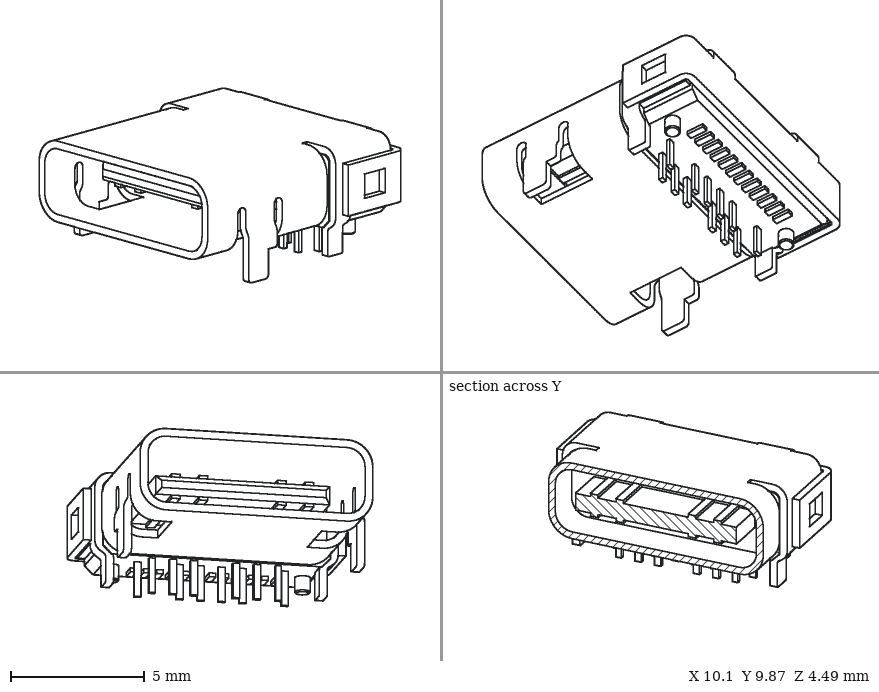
import cadquery as cq
import math


total_width = 10.1
total_length = 9.87
total_height = 4.49

wall = 0.3
tube_width = 8.95
tube_height = 3.16
tube_radius = 1.0
tube_length = 6.3
top_z = tube_height / 2
bottom_z = -tube_height / 2

hood_width = 9.35
hood_radius = 0.61
hood_front_y = 6.55
bridge_width = 6.3

bend_inner_radius = 0.1
bend_outer_radius = bend_inner_radius + wall
hood_back_y = total_length - bend_outer_radius
plate_half_height = 1.0
flap_front_y = 6.86
flap_window_length = 1.08
flap_window_height = 0.95
flap_window_y = 8.25
tab_width = 1.38
tab_x = 2.72

slot_width = 0.41
slot_inner_x = 2.88
slot_top_z = 0.24
front_leg_front_y = 2.01
front_leg_back_y = 3.51
front_leg_foot_width = 1.04
front_leg_bottom_z = -2.72
front_leg_shift = 0.16
front_leg_bend_z = -0.55
front_leg_bend_angle = 30
front_leg_bend_radius = 0.25
front_leg_shoulder_radius = 0.12
front_leg_foot_radius = 0.16

rear_leg_width = 0.78
rear_leg_bottom_z = -2.69
rear_leg_shift = -0.41
rear_leg_bend_z = -1.08
rear_leg_bend_angle = 55
rear_leg_bend_radius = 0.15
rear_leg_foot_radius = 0.07

core_front_y = 6.5
core_back_y = total_length - wall
core_half_width = hood_width / 2 - wall
core_top_z = top_z - wall
core_chamfer = 0.33

tongue_width = 6.69
tongue_thickness = 0.71
tongue_tip_y = 2.05
tongue_taper_length = 0.21
tongue_tip_width = 6.32
tongue_tip_thickness = 0.28
strip_width = 0.32
strip_height = 0.12
strip_xs = [-2.57, -1.5, 1.5, 2.57]

peg_x = 3.69
peg_y = 8.17
peg_radius = 0.29
peg_bottom_z = -2.18
peg_chamfer = 0.05

pin_bottom_z = top_z - total_height
pin_pitch = 0.4
front_pin_y = 6.82
front_pin_thickness = 0.17
back_pin_y = 7.46
back_pin_thickness = 0.14
pin_width = 0.26
narrow_pin_width = 0.22
front_pin_steps = [2, 4]
narrow_front_pin_step = 6
back_pin_steps = [1, 3, 7]
foot_count = 12
foot_pitch = 0.5
foot_width = 0.25
foot_front_y = 8.28
foot_back_y = 9.0
foot_height = 0.15


def box(x0, x1, y0, y1, z0, z1):
    """Box given by its limits along X, Y and Z."""
    corner = cq.Vector(x0, y0, z0)
    return cq.Workplane(cq.Solid.makeBox(x1 - x0, y1 - y0, z1 - z0, corner))


def both_sides(body):
    """The body together with its mirror image across the YZ plane."""
    return body.union(body.mirror("YZ"))


def plane_across_y(y):
    """XZ work plane at the given y; its normal points to the front, toward -Y."""
    return cq.Workplane(cq.Plane(origin=(0, y, 0), xDir=(1, 0, 0), normal=(0, -1, 0)))


def bent_strip(outer_x, start_z, bend_z, bottom_z, shift, radius, angle, y0, y1):
    """Vertical sheet strip on the +X side with two opposite bends that shift it sideways.

    outer_x is the outer face above the bends, which begin at bend_z; a positive shift is outward.
    """
    turn = math.radians(angle)
    side = math.copysign(1, shift)
    mid_radius = radius + wall / 2
    bend_shift = mid_radius * (1 - math.cos(turn))
    half_bend_shift = mid_radius * (1 - math.cos(turn / 2))
    bend_drop = mid_radius * math.sin(turn)
    half_bend_drop = mid_radius * math.sin(turn / 2)
    slope_shift = abs(shift) - 2 * bend_shift
    end_drop = 2 * bend_drop + slope_shift / math.tan(turn)

    upper_bend_mid = (half_bend_shift, half_bend_drop, turn / 2)
    upper_bend_end = (bend_shift, bend_drop, turn)
    lower_bend_start = (abs(shift) - bend_shift, end_drop - bend_drop, turn)
    lower_bend_mid = (abs(shift) - half_bend_shift, end_drop - half_bend_drop, turn / 2)
    lower_bend_end = (abs(shift), end_drop, 0)

    def face_point(station, offset):
        sideways, drop, slope = station
        x = outer_x - wall / 2 + side * sideways + offset * math.cos(slope)
        z = bend_z - drop + side * offset * math.sin(slope)
        return (x, z)

    outer = wall / 2
    inner = -wall / 2
    profile = (
        plane_across_y(y0)
        .moveTo(outer_x, start_z)
        .lineTo(outer_x, bend_z)
        .threePointArc(face_point(upper_bend_mid, outer), face_point(upper_bend_end, outer))
        .lineTo(*face_point(lower_bend_start, outer))
        .threePointArc(face_point(lower_bend_mid, outer), face_point(lower_bend_end, outer))
        .lineTo(outer_x + shift, bottom_z)
        .lineTo(outer_x + shift - wall, bottom_z)
        .lineTo(*face_point(lower_bend_end, inner))
        .threePointArc(face_point(lower_bend_mid, inner), face_point(lower_bend_start, inner))
        .lineTo(*face_point(upper_bend_end, inner))
        .threePointArc(face_point(upper_bend_mid, inner), (outer_x - wall, bend_z))
        .lineTo(outer_x - wall, start_z)
        .close()
    )
    return profile.extrude(-(y1 - y0))



def side_slot(y0):
    """Round-topped cutter through the +X side of the tube, open at the bottom."""
    radius = slot_width / 2
    centre_z = slot_top_z - radius
    straight = box(slot_inner_x, tube_width, y0, y0 + slot_width, bottom_z - wall, centre_z)
    round_end = (
        cq.Workplane("YZ", origin=(slot_inner_x, y0 + radius, centre_z))
        .circle(radius)
        .extrude(tube_width - slot_inner_x)
    )
    return straight.union(round_end)


def mouth_tube():
    outer = box(-tube_width / 2, tube_width / 2, 0, tube_length, bottom_z, top_z)
    outer = outer.edges("|Y").fillet(tube_radius)
    inner_half_width = tube_width / 2 - wall
    inner = box(-inner_half_width, inner_half_width, 0, tube_length, bottom_z + wall, top_z - wall)
    inner = inner.edges("|Y").fillet(tube_radius - wall)

    freed = box(
        slot_inner_x, tube_width, front_leg_front_y, front_leg_back_y,
        bottom_z - wall, front_leg_bend_z,
    )
    opening = (
        side_slot(front_leg_front_y - slot_width)
        .union(side_slot(front_leg_back_y))
        .union(freed)
    )
    return outer.cut(inner).cut(both_sides(opening))


def front_leg():
    strip = bent_strip(
        tube_width / 2, front_leg_bend_z + wall / 2, front_leg_bend_z, front_leg_bottom_z,
        front_leg_shift, front_leg_bend_radius, front_leg_bend_angle,
        front_leg_front_y, front_leg_back_y,
    )
    shoulder = box(0, total_width, front_leg_front_y, front_leg_back_y, bottom_z, top_z)
    shoulder = shoulder.edges("|X and >Y and <Z").fillet(front_leg_shoulder_radius)
    foot_back_edge_y = front_leg_front_y + front_leg_foot_width
    foot = box(0, total_width, front_leg_front_y, foot_back_edge_y, front_leg_bottom_z, 0)
    foot = foot.edges("|X and <Z").fillet(front_leg_foot_radius)
    return strip.intersect(shoulder.union(foot))


def rear_leg():
    strip = bent_strip(
        hood_width / 2, -plate_half_height, rear_leg_bend_z, rear_leg_bottom_z,
        rear_leg_shift, rear_leg_bend_radius, rear_leg_bend_angle,
        hood_front_y, hood_front_y + rear_leg_width,
    )
    return strip.edges("|X and <Z").fillet(rear_leg_foot_radius)


def hood():
    """Roof and side walls around the core, open at the bottom, front and back."""
    half_width = hood_width / 2
    outer = box(-half_width, half_width, hood_front_y, hood_back_y, -plate_half_height, top_z)
    outer = outer.edges("|Y and >Z").fillet(hood_radius)
    inner = box(
        -core_half_width, core_half_width, hood_front_y, hood_back_y,
        -plate_half_height, core_top_z,
    )
    inner = inner.edges("|Y and >Z").fillet(hood_radius - wall)
    return outer.cut(inner)


def bridge():
    half_width = bridge_width / 2
    return box(-half_width, half_width, tube_length, hood_front_y, top_z - wall, top_z)


def back_plate():
    """Back plate with a windowed flap bent forward along each side."""
    half_width = total_width / 2
    height = plate_half_height
    outer = box(-half_width, half_width, flap_front_y, total_length, -height, height)
    outer = outer.edges("|Z and >Y").fillet(bend_outer_radius)
    inner_half_width = half_width - wall
    inner = box(
        -inner_half_width, inner_half_width, flap_front_y, total_length - wall, -height, height,
    )
    inner = inner.edges("|Z and >Y").fillet(bend_inner_radius)
    windows = cq.Workplane("XY").box(total_width, flap_window_length, flap_window_height)
    windows = windows.translate((0, flap_window_y, 0))
    return outer.cut(inner).cut(windows)


def hanging_tab(x):
    """Sheet tab that bends from the hood roof down into the back plate."""
    centre_z = top_z - bend_outer_radius
    diagonal = math.sqrt(0.5)
    inner_y = hood_back_y + bend_inner_radius
    profile = (
        cq.Workplane("YZ", origin=(x - tab_width / 2, 0, 0))
        .moveTo(hood_back_y, top_z)
        .threePointArc(
            (hood_back_y + bend_outer_radius * diagonal, centre_z + bend_outer_radius * diagonal),
            (total_length, centre_z),
        )
        .lineTo(total_length, plate_half_height)
        .lineTo(inner_y, plate_half_height)
        .lineTo(inner_y, centre_z)
        .threePointArc(
            (hood_back_y + bend_inner_radius * diagonal, centre_z + bend_inner_radius * diagonal),
            (hood_back_y, top_z - wall),
        )
        .close()
    )
    return profile.extrude(tab_width)


def make_shell():
    body = mouth_tube().union(bridge()).union(hood()).union(back_plate())
    for x in (-tab_x, tab_x):
        body = body.union(hanging_tab(x))
    return body.union(both_sides(front_leg())).union(both_sides(rear_leg()))



def core_block():
    block = box(
        -core_half_width, core_half_width, core_front_y, core_back_y, bottom_z, core_top_z,
    )
    block = block.edges("|Y and >Z").fillet(hood_radius - wall)
    return block.edges("|Y and <Z").chamfer(core_chamfer)


def tongue():
    taper_start_y = tongue_tip_y + tongue_taper_length
    half_width = tongue_width / 2
    half_thickness = tongue_thickness / 2
    blade = box(
        -half_width, half_width, taper_start_y, core_front_y, -half_thickness, half_thickness,
    )
    tip = (
        plane_across_y(taper_start_y)
        .rect(tongue_width, tongue_thickness)
        .workplane(offset=tongue_taper_length)
        .rect(tongue_tip_width, tongue_tip_thickness)
        .loft(combine=True)
    )
    body = blade.union(tip)
    strip_reach = half_thickness + strip_height
    for x in strip_xs:
        strip = box(
            x - strip_width / 2, x + strip_width / 2, taper_start_y, core_front_y,
            -strip_reach, strip_reach,
        )
        body = body.union(strip)
    return body


def peg():
    blank = cq.Workplane("XY", origin=(peg_x, peg_y, peg_bottom_z)).circle(peg_radius)
    return blank.extrude(bottom_z - peg_bottom_z).faces("<Z").chamfer(peg_chamfer)


def contact_pin(x, y, width, thickness):
    return box(
        x - width / 2, x + width / 2, y - thickness / 2, y + thickness / 2,
        pin_bottom_z, bottom_z,
    )


def contact_pins():
    """Both rows of pins on the +X side."""
    narrow_x = narrow_front_pin_step * pin_pitch
    pins = contact_pin(narrow_x, front_pin_y, narrow_pin_width, front_pin_thickness)
    for step in front_pin_steps:
        pins = pins.union(contact_pin(step * pin_pitch, front_pin_y, pin_width, front_pin_thickness))
    for step in back_pin_steps:
        pins = pins.union(contact_pin(step * pin_pitch, back_pin_y, pin_width, back_pin_thickness))
    return pins


def contact_foot(x):
    return box(
        x - foot_width / 2, x + foot_width / 2, foot_front_y, foot_back_y,
        bottom_z - foot_height, bottom_z,
    )


def make_core(shell_body):
    body = core_block().union(tongue()).union(both_sides(peg()))
    body = body.union(both_sides(contact_pins()))
    for index in range(foot_count):
        body = body.union(contact_foot((index - (foot_count - 1) / 2) * foot_pitch))
    return body.cut(shell_body)


shell = make_shell()
core = make_core(shell)
result = cq.Compound.makeCompound([shell.solids().val(), core.solids().val()])